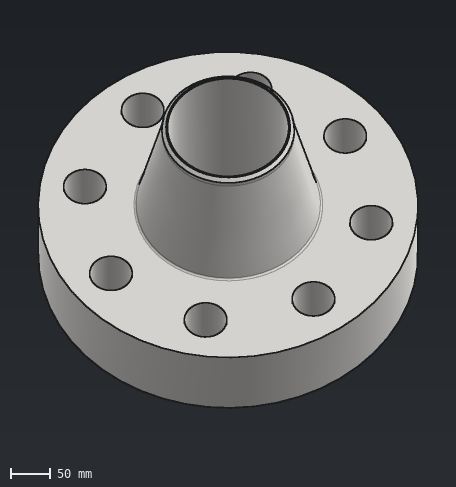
import cadquery as cq

flange_diameter = 482.5
flange_thickness = 108.0

face_diameter = 216.0
face_height = 6.5

total_height = 279.5
hub_base_diameter = 235.0
neck_diameter = 168.5
neck_length = 6.5
hub_fillet_radius = 3.0

bore_diameter = 154.0
root_width = 2.0
bevel_height = 4.5

bolt_count = 8
bolt_hole_diameter = 54.0
bolt_circle_diameter = 368.0

flange_top = flange_thickness
hub_tip = total_height - face_height
bevel_bottom = hub_tip - bevel_height
neck_bottom = bevel_bottom - neck_length


def make_body():
    """Revolve the half section of the flange about the Z axis."""
    bore_radius = bore_diameter / 2
    face_radius = face_diameter / 2
    flange_radius = flange_diameter / 2
    neck_radius = neck_diameter / 2
    half_section = [
        (bore_radius, -face_height),
        (face_radius, -face_height),
        (face_radius, 0),
        (flange_radius, 0),
        (flange_radius, flange_top),
        (hub_base_diameter / 2, flange_top),
        (neck_radius, neck_bottom),
        (neck_radius, bevel_bottom),
        (bore_radius + root_width, hub_tip),
        (bore_radius, hub_tip),
    ]
    return (
        cq.Workplane("XZ")
        .polyline(half_section)
        .close()
        .revolve(360, (0, 0, 0), (0, 1, 0))
    )


def round_hub_base(body):
    """Fillet the corner where the hub meets the top of the flange ring."""
    flange_top_edges = body.faces(">Z[-2]").edges()
    hub_base_edge = flange_top_edges.edges(cq.selectors.RadiusNthSelector(0))
    return hub_base_edge.fillet(hub_fillet_radius)


def make_bolt_holes():
    """Cylinders through the flange ring, evenly spaced from the X axis."""
    return (
        cq.Workplane("XY")
        .polarArray(bolt_circle_diameter / 2, 0, 360, bolt_count)
        .circle(bolt_hole_diameter / 2)
        .extrude(flange_thickness)
    )


flange = round_hub_base(make_body())
result = flange.cut(make_bolt_holes())